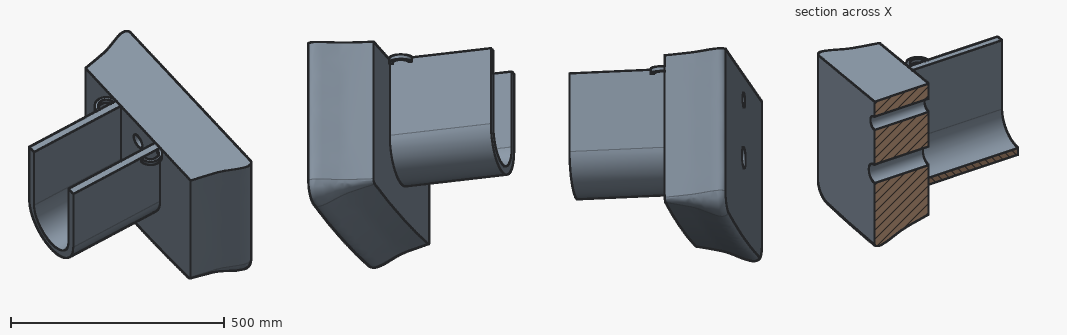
import cadquery as cq
import math


width = 510.5
height = 403.5
block_depth = 150.5
corner_radius = 51.0
bottom_radius = 2844.5
front_inset = 41.0
back_inset = 8.5
flare_points = [
    (0.0, back_inset),
    (3.5, 3.0),
    (14.5, 0.0),
    (25.5, 2.0),
    (75.5, 23.0),
    (112.5, 32.5),
    (block_depth, front_inset),
]

upper_hole_diameter = 35.0
upper_hole_drop = 60.5
lower_hole_diameter = 50.0
lower_hole_drop = 199.5

trough_length = 249.0
trough_radius = 90.0
trough_wall = 20.0
trough_axis_drop = 190.0

loop_radius = 27.5
loop_bore_radius = 19.5
loop_thickness = 11.0


def outline_wire(inset, y):
    """Closed block outline, moved inward by inset, in the XZ plane at the given Y."""
    half_width = width / 2 - inset
    corner = corner_radius - inset
    bottom = bottom_radius - inset
    corner_x = width / 2 - corner_radius
    bottom_center_z = bottom_radius - height
    tilt = math.asin(corner_x / (bottom_radius - corner_radius))
    corner_z = bottom_center_z - (bottom_radius - corner_radius) * math.cos(tilt)
    join_x = bottom * math.sin(tilt)
    join_z = bottom_center_z - bottom * math.cos(tilt)
    middle_angle = (math.pi / 2 + tilt) / 2
    middle_x = corner_x + corner * math.sin(middle_angle)
    middle_z = corner_z - corner * math.cos(middle_angle)
    bottom_z = bottom_center_z - bottom
    return (
        cq.Workplane("XZ", origin=(0, y, 0))
        .moveTo(-half_width, 0)
        .lineTo(-half_width, corner_z)
        .threePointArc((-middle_x, middle_z), (-join_x, join_z))
        .threePointArc((0, bottom_z), (join_x, join_z))
        .threePointArc((middle_x, middle_z), (half_width, corner_z))
        .lineTo(half_width, 0)
        .close()
    )


def make_block():
    """Block lofted through outlines whose inset follows the flare curve, with two through holes."""
    flare = cq.Edge.makeSpline([cq.Vector(distance, inset) for distance, inset in flare_points])
    section_count = 14
    sections = []
    for index in range(section_count + 1):
        point = flare.positionAt(index / section_count)
        sections.append(outline_wire(point.y, block_depth - point.x).val())
    block = cq.Workplane(cq.Solid.makeLoft(sections))
    for diameter, drop in (
        (upper_hole_diameter, upper_hole_drop),
        (lower_hole_diameter, lower_hole_drop),
    ):
        hole = cq.Workplane("XZ", origin=(0, 0, -drop)).circle(diameter / 2).extrude(-block_depth)
        block = block.cut(hole)
    return block


def make_u_prism(radius):
    """Solid with a flat top and round bottom, reaching forward from the block."""
    return (
        cq.Workplane("XZ")
        .moveTo(-radius, 0)
        .lineTo(-radius, -trough_axis_drop)
        .threePointArc((0, -trough_axis_drop - radius), (radius, -trough_axis_drop))
        .lineTo(radius, 0)
        .close()
        .extrude(trough_length)
    )


def make_trough():
    """Open-topped U channel."""
    return make_u_prism(trough_radius).cut(make_u_prism(trough_radius - trough_wall))


def make_loop(side):
    """Half ring on the trough wall at the left (side = -1) or right (side = 1)."""
    wall_x = side * trough_radius
    return (
        cq.Workplane("XY")
        .moveTo(wall_x, 0)
        .threePointArc((wall_x + side * loop_radius, -loop_radius), (wall_x, -2 * loop_radius))
        .lineTo(wall_x, -loop_radius - loop_bore_radius)
        .threePointArc(
            (wall_x + side * loop_bore_radius, -loop_radius),
            (wall_x, -loop_radius + loop_bore_radius),
        )
        .close()
        .extrude(-loop_thickness)
    )


block = make_block()
trough = make_trough()
loops = [make_loop(side).val() for side in (-1, 1)]

result = cq.Compound.makeCompound([block.val(), trough.val(), *loops])